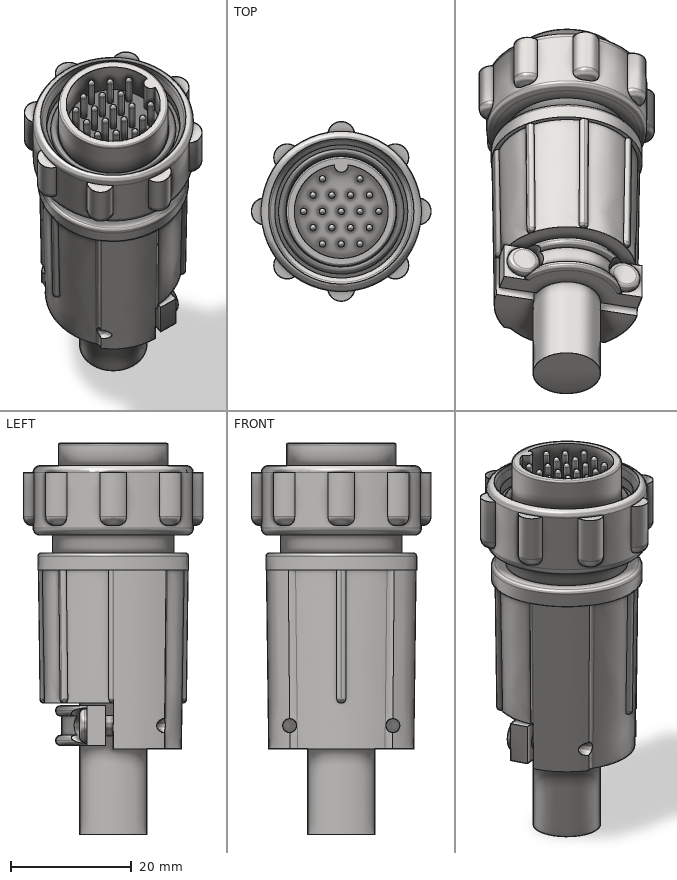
import cadquery as cq
import math


total_height = 64.97
front_half_bottom = 14.22
rear_half_bottom = 21.85
collar_bottom = 43.93
collar_top = 46.77
nut_bottom = 49.7
nut_top = 61.25
nut_mouth_bottom = 59.65
nut_floor = 58.0

overlap = 1.0

cable_radius = 5.6
neck_radius = 10.12
shell_radius = 9.1
shell_bore_radius = 7.8
shell_bore_depth = 6.1
shell_rounding = 0.3
key_radius = 1.15
key_offset = 7.65

pin_radius = 0.53
pin_pitch = 3.12
row_pitch = pin_pitch * math.sin(math.radians(60))
pin_recess = 0.4
pin_rows = {
    2: (-1, 1),
    1: (-1.5, -0.5, 0.5, 1.5),
    0: (-2, -1, 0, 1, 2),
    -1: (-1.5, -0.5, 0.5, 1.5),
    -2: (-1, 0, 1),
}

nut_radius = 13.3
nut_rounding = 1.17
nut_mouth_radius = 12.05
nut_lip_radius = 11.75
nut_lip_bottom = 60.65
nut_seat_radius = 11.05
seal_radius = 9.8
seal_thickness = 1.2
knob_count = 8
knob_radius = 2.25
knob_reach = 14.92
knob_bottom = 51.28
knob_top = nut_top - nut_rounding
knob_rounding = 1.5

collar_radius = 12.53
collar_rounding = 0.6
side_radius_top = 12.43
side_radius_bottom = 12.05
panel_radius_top = 11.8
panel_radius_bottom = 11.3
step_outer_angle = 45
step_inner_angle = 40
rib_width = 1.5
rib_spacing = 45
rib_edge_rounding = 0.7
rib_end_rounding = 0.6

screw_x = 8.57
screw_z = 18.1
clamp_half_length = 11.8
clamp_front = 1.26
clamp_back = 4.38
clamp_height = 6.6
shank_radius = 1.7
head_radius = 2.75
head_height = 1.2
head_rounding = 0.8
head_clearance_radius = 2.95
arch_radius = 8.58
ridge_radius = 9.57
ridge_thickness = 1.7
ridge_rounding = 0.83
screw_hole_radius = 1.15
screw_hole_floor = -5.0


def cylinder(radius, bottom, top):
    return cq.Workplane("XY").workplane(offset=bottom).circle(radius).extrude(top - bottom)


def cylinder_along_y(radius, x, z, start, end):
    plane = cq.Plane(origin=(x, start, z), xDir=(1, 0, 0), normal=(0, 1, 0))
    return cq.Workplane(plane).circle(radius).extrude(end - start)


def tapered(top_radius, bottom_radius, z):
    """Radius at height z of a cone given at the collar and at the lower end."""
    share = (z - front_half_bottom) / (collar_bottom - front_half_bottom)
    return bottom_radius + share * (top_radius - bottom_radius)


def side_radius(z):
    return tapered(side_radius_top, side_radius_bottom, z)


def panel_radius(z):
    return tapered(panel_radius_top, panel_radius_bottom, z)


def rear_space():
    """Block covering everything on the +Y side of the axis."""
    size = 4 * nut_radius
    return cq.Workplane("XY").box(size, size, 2 * total_height).translate((0, size / 2, 0))


def make_shell():
    """Mating shell with its keyway rib and the round-ended contact pins."""
    shell = cylinder(shell_radius, nut_floor - overlap, total_height)
    shell = shell.faces(">Z").edges().fillet(shell_rounding)
    bore_floor = total_height - shell_bore_depth
    shell = shell.cut(cylinder(shell_bore_radius, bore_floor, total_height))
    key = cylinder(key_radius, bore_floor - overlap, total_height)
    key = key.translate((0, key_offset, 0)).intersect(cylinder(shell_radius, 0, total_height))
    shell = shell.union(key)
    pin_top = total_height - pin_recess
    pin = cylinder(pin_radius, bore_floor - overlap, pin_top - pin_radius)
    pin = pin.union(cq.Workplane("XY").sphere(pin_radius).translate((0, 0, pin_top - pin_radius)))
    for row, columns in pin_rows.items():
        for column in columns:
            shell = shell.union(pin.translate((column * pin_pitch, row * row_pitch, 0)))
    return shell


def make_neck():
    return cylinder(neck_radius, collar_top - overlap, nut_floor)


def make_seal():
    """Sealing ring half sunk into the nut floor, next to the shell."""
    ring = cq.Workplane("XZ").center(seal_radius, nut_floor).circle(seal_thickness / 2)
    return ring.revolve(360, (-seal_radius, 0), (-seal_radius, 1))


def revolved(profile):
    """Solid of revolution about Z from (radius, height) points."""
    return cq.Workplane("XZ").polyline(profile).close().revolve(360, (0, 0), (0, 1))


def make_nut():
    """Knobbed nut, filled around the neck, with an open mouth around the shell."""
    nut = cylinder(nut_radius, nut_bottom, nut_top)
    nut = nut.faces("<Z or >Z").edges().fillet(nut_rounding)
    knob_center = knob_reach - knob_radius
    for index in range(knob_count):
        knob = cylinder(knob_radius, knob_bottom, knob_top).faces("<Z").edges().fillet(knob_rounding)
        knob = knob.translate((knob_center, 0, 0))
        nut = nut.union(knob.rotate((0, 0, 0), (0, 0, 1), index * 360 / knob_count))
    mouth_profile = [
        (0, nut_top),
        (nut_mouth_radius, nut_top),
        (nut_lip_radius, nut_lip_bottom),
        (nut_seat_radius, nut_mouth_bottom),
        (nut_seat_radius, nut_floor),
        (0, nut_floor),
    ]
    return nut.cut(revolved(mouth_profile))


def front_section(z):
    """Front half outline: full sides, stepping inward to a lower panel around -Y."""
    side = side_radius(z)
    panel = panel_radius(z)

    def point(radius, angle_from_front):
        angle = math.radians(angle_from_front)
        return (radius * math.sin(angle), -radius * math.cos(angle))

    blend_radius = panel + (side - panel) / 4
    blend_angle = (step_outer_angle + step_inner_angle) / 2
    side_middle = (90 + step_outer_angle) / 2
    return (
        cq.Workplane("XY").workplane(offset=z)
        .moveTo(side, 0)
        .threePointArc(point(side, side_middle), point(side, step_outer_angle))
        .threePointArc(point(blend_radius, blend_angle), point(panel, step_inner_angle))
        .threePointArc(point(panel, 0), point(panel, -step_inner_angle))
        .threePointArc(point(blend_radius, -blend_angle), point(side, -step_outer_angle))
        .threePointArc(point(side, -side_middle), (-side, 0))
        .close()
        .wires().val()
    )


def make_front_half():
    """Longer backshell half with two blind holes in line with the clamp screws."""
    sections = [front_section(front_half_bottom), front_section(collar_bottom)]
    half = cq.Workplane(cq.Solid.makeLoft(sections, True))
    for x in (-screw_x, screw_x):
        half = half.cut(cylinder_along_y(screw_hole_radius, x, screw_z, -nut_radius, screw_hole_floor))
    return half


def make_rear_half():
    profile = [
        (0, rear_half_bottom),
        (panel_radius(rear_half_bottom), rear_half_bottom),
        (panel_radius_top, collar_bottom),
        (0, collar_bottom),
    ]
    return revolved(profile).intersect(rear_space())


def make_ribs():
    """Ribs every 45 degrees around the rear half and one on the front panel."""
    root = cable_radius
    profile = [
        (root, rear_half_bottom),
        (side_radius(rear_half_bottom), rear_half_bottom),
        (side_radius_top, collar_bottom),
        (root, collar_bottom),
    ]
    rib = cq.Workplane("XZ").polyline(profile).close().extrude(rib_width / 2, both=True)
    rib = rib.faces(">X").edges("|Y").edges("<Z").fillet(rib_end_rounding)
    rib = rib.faces(">X").edges("not |Y").fillet(rib_edge_rounding)
    rear_ribs = rib
    for angle in range(rib_spacing, 180 + rib_spacing, rib_spacing):
        rear_ribs = rear_ribs.union(rib.rotate((0, 0, 0), (0, 0, 1), angle))
    front_rib = rib.rotate((0, 0, 0), (0, 0, 1), -90)
    return rear_ribs.intersect(rear_space()).union(front_rib)


def make_collar():
    return cylinder(collar_radius, collar_bottom, collar_top).faces(">Z").edges().fillet(collar_rounding)


def make_clamp():
    """Bar across the cable with a ridged arch, held by two screws."""
    bottom = screw_z - clamp_height / 2
    top = screw_z + clamp_height / 2
    arch = cylinder(arch_radius, bottom + ridge_thickness / 2, top - ridge_thickness / 2)
    ridge = cylinder(ridge_radius, bottom, bottom + ridge_thickness)
    ridge = ridge.edges().fillet(ridge_rounding)
    arch = arch.union(ridge).union(ridge.translate((0, 0, clamp_height - ridge_thickness)))
    arch = arch.intersect(rear_space().translate((0, clamp_front, 0)))
    for x in (-screw_x, screw_x):
        arch = arch.cut(cylinder_along_y(head_clearance_radius, x, screw_z, clamp_back, nut_radius))
    bar_depth = clamp_back - clamp_front
    bar = cq.Workplane("XY").box(2 * clamp_half_length, bar_depth, clamp_height)
    clamp = arch.union(bar.translate((0, clamp_front + bar_depth / 2, screw_z)))
    for x in (-screw_x, screw_x):
        head = cylinder_along_y(head_radius, x, screw_z, clamp_back, clamp_back + head_height)
        clamp = clamp.union(head.faces(">Y").edges().fillet(head_rounding))
        clamp = clamp.union(cylinder_along_y(shank_radius, x, screw_z, -overlap, clamp_back))
    return clamp


result = (
    cylinder(cable_radius, 0, collar_bottom)
    .union(make_front_half())
    .union(make_rear_half())
    .union(make_ribs())
    .union(make_collar())
    .union(make_neck())
    .union(make_nut())
    .union(make_seal())
    .union(make_shell())
    .union(make_clamp())
)